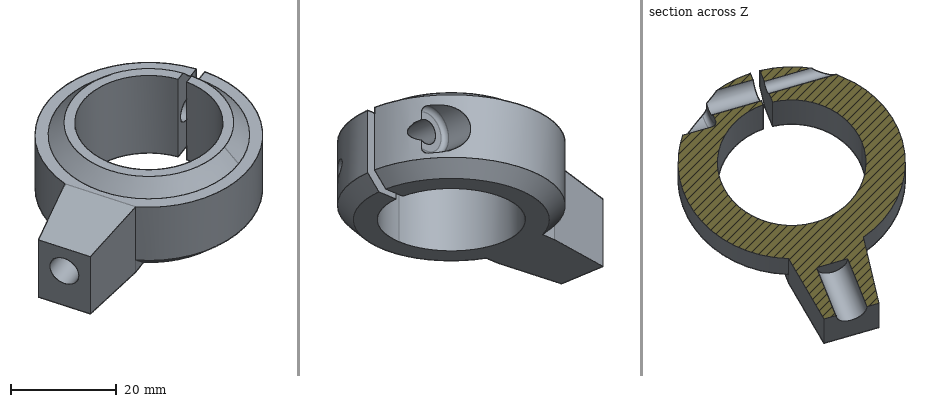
import cadquery as cq
import math

ring_radius = 21.5
bore_radius = 14.0
height = 19.0
bevel = 3.0
shoulder_z = height - bevel
upper_cone_radius = 19.0

arm_root_width = 15.0
arm_tip_width = 11.05
arm_tip_height = 14.05
arm_root_y = -math.sqrt(ring_radius**2 - (arm_root_width / 2)**2)
arm_hole_diameter = 6.1
arm_hole_depth = 11.3
arm_hole_z = 8.5

slot_width = 1.8
screw_y = 17.45
screw_z = 9.05
screw_hole_radius = 1.5
clearance_radius = 2.5
head_radius = 5.0
head_floor_x = -10.65
head_floor_fillet = 1.0

overall_length = 56.65
arm_tip_y = math.sqrt(ring_radius**2 - (slot_width / 2)**2) - overall_length


def ring():
    """Revolved ring with a raised cone on top, a beveled lower edge and a flat where the arm starts."""
    profile = [
        (bore_radius, 0),
        (ring_radius - bevel, 0),
        (ring_radius, bevel),
        (ring_radius, shoulder_z),
        (upper_cone_radius, shoulder_z),
        (upper_cone_radius - bevel, height),
        (bore_radius, height),
    ]
    body = cq.Workplane("XZ").polyline(profile).close().revolve(360, (0, 0), (0, 1))
    flat_depth = ring_radius + arm_root_y
    beyond_root = cq.Workplane("XY", origin=(0, -ring_radius, 0)).box(
        arm_root_width, flat_depth, height, centered=(True, False, False)
    )
    return body.cut(beyond_root)


def arm():
    """Arm narrowing in plan and sloping down on top, with a straight root inside the ring."""
    inner_y = -(bore_radius + ring_radius - bevel) / 2
    half_root = arm_root_width / 2
    half_tip = arm_tip_width / 2
    plan = [
        (-half_root, inner_y),
        (-half_root, arm_root_y),
        (-half_tip, arm_tip_y),
        (half_tip, arm_tip_y),
        (half_root, arm_root_y),
        (half_root, inner_y),
    ]
    side = [
        (inner_y, 0),
        (inner_y, shoulder_z),
        (arm_root_y, shoulder_z),
        (arm_tip_y, arm_tip_height),
        (arm_tip_y, 0),
    ]
    plan_body = cq.Workplane("XY").polyline(plan).close().extrude(shoulder_z)
    side_body = cq.Workplane("YZ").polyline(side).close().extrude(half_root, both=True)
    return plan_body.intersect(side_body)


def arm_hole():
    """Blind hole running inward from the arm tip."""
    plane = cq.Workplane("XZ", origin=(0, arm_tip_y, arm_hole_z))
    return plane.circle(arm_hole_diameter / 2).extrude(-arm_hole_depth)


def slot():
    """Full-height gap through the ring wall on the side opposite the arm."""
    return cq.Workplane("XY").box(slot_width, ring_radius, height, centered=(True, False, False))


def screw_cylinder(radius, start_x, end_x):
    """Cylinder on the clamping screw axis."""
    plane = cq.Workplane("YZ", origin=(start_x, screw_y, screw_z))
    return plane.circle(radius).extrude(end_x - start_x)


def screw_cuts():
    """Through hole, clearance hole up to the slot, and head recess with a rounded floor edge."""
    through = screw_cylinder(screw_hole_radius, -ring_radius, ring_radius)
    clearance = screw_cylinder(clearance_radius, -ring_radius, 0)
    head = screw_cylinder(head_radius, -ring_radius, head_floor_x)
    head = head.faces(">X").edges().fillet(head_floor_fillet)
    return through.union(clearance).union(head)


result = ring().union(arm()).cut(arm_hole()).cut(slot()).cut(screw_cuts())